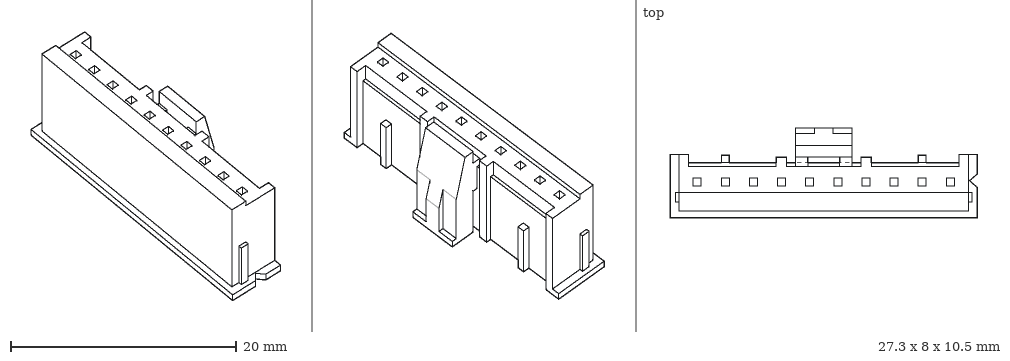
import cadquery as cq


total_height = 10.5
flange_length = 27.3
flange_height = 0.75
flange_left_overhang = 0.8

body_length = 25.72
body_front_y = 0.6
end_post_back_y = 5.65
end_post_width = 0.85
front_wall_thickness = 1.65
front_wall_rise = 0.57
back_wall_y = 4.91
upper_wall_setback = 0.33
ledge_z = 8.2

pin_count = 10
pin_pitch = 2.498
pin_hole_size = 0.7
pin_hole_y = 3.2
pin_hole_depth = 2.18

key_top_z = 5.35
side_key_width = 0.82
side_key_projection = 0.33
back_key_width = pin_hole_size
back_key_end_y = 5.57
guide_post_inner_x = 3.3
guide_post_width = 0.93

latch_width = 5.02
latch_front_y = 5.4
latch_top_back_y = 6.42
latch_plate_back_y = 7.5
latch_foot_back_y = 8.0
latch_slope_start_z = 3.75
latch_rib_width = 1.65
latch_leg_width = 1.1
latch_leg_top_z = 9.0

notch_y = 3.3
notch_depth = 0.68
notch_half_width = 0.6

body_half_length = body_length / 2
deck_z = total_height - front_wall_rise
front_wall_back_y = body_front_y + front_wall_thickness
upper_wall_y = back_wall_y - upper_wall_setback
flange_left_x = -body_half_length - flange_left_overhang
flange_right_x = flange_left_x + flange_length


def block(x_range, y_range, z_range):
    """Box between the given limits along each axis."""
    (x0, x1), (y0, y1), (z0, z1) = x_range, y_range, z_range
    return cq.Workplane("XY", origin=(x0, y0, z0)).box(x1 - x0, y1 - y0, z1 - z0, centered=False)


def centered_range(center, width):
    return (center - width / 2, center + width / 2)


def make_flange():
    """Base flange with the V notch that marks pin one."""
    flange = block((flange_left_x, flange_right_x), (0, upper_wall_y), (0, flange_height))
    left_corner = block(
        (flange_left_x, -body_half_length), (0, end_post_back_y), (0, flange_height)
    )
    right_corner = block(
        (body_half_length, flange_right_x), (0, end_post_back_y), (0, flange_height)
    )
    notch = (
        cq.Workplane("XY")
        .moveTo(flange_right_x - notch_depth, notch_y)
        .lineTo(flange_right_x, notch_y + notch_half_width)
        .lineTo(flange_right_x, notch_y - notch_half_width)
        .close()
        .extrude(flange_height)
    )
    return flange.union(left_corner).union(right_corner).cut(notch)


def make_body():
    """Main block with a raised front wall and a back wall that steps in above the ledge."""
    profile = [
        (body_front_y, 0),
        (body_front_y, total_height),
        (front_wall_back_y, total_height),
        (front_wall_back_y, deck_z),
        (upper_wall_y, deck_z),
        (upper_wall_y, ledge_z),
        (back_wall_y, ledge_z),
        (back_wall_y, 0),
    ]
    return (
        cq.Workplane("YZ", origin=(-body_half_length, 0, 0))
        .polyline(profile)
        .close()
        .extrude(body_length)
    )


def make_back_posts():
    """End posts and the two guide posts beside the latch, all flush with the deck."""
    end_post_x = body_half_length - end_post_width / 2
    guide_post_x = guide_post_inner_x + guide_post_width / 2
    posts = cq.Workplane("XY")
    for side in (-1, 1):
        end_post_range = centered_range(side * end_post_x, end_post_width)
        guide_post_range = centered_range(side * guide_post_x, guide_post_width)
        posts = posts.add(block(end_post_range, (body_front_y, end_post_back_y), (0, deck_z)))
        posts = posts.add(block(guide_post_range, (upper_wall_y, latch_front_y), (0, deck_z)))
    return posts.combine()


def make_keys():
    """Side keys on the body ends and back keys in line with the second pin from each end."""
    back_key_x = (pin_count - 3) / 2 * pin_pitch
    side_key_span = body_half_length + side_key_projection
    keys = block(
        (-side_key_span, side_key_span),
        (front_wall_back_y - side_key_width, front_wall_back_y),
        (0, key_top_z),
    )
    for side in (-1, 1):
        back_key_range = centered_range(side * back_key_x, back_key_width)
        keys = keys.union(block(back_key_range, (upper_wall_y, back_key_end_y), (0, key_top_z)))
    return keys


def make_latch():
    """Tapered lever with a wide foot and a central rib, carried on two legs."""
    lever_profile = [
        (latch_front_y, 0),
        (latch_front_y, total_height),
        (latch_top_back_y, total_height),
        (latch_foot_back_y, latch_slope_start_z),
        (latch_foot_back_y, 0),
    ]
    latch = (
        cq.Workplane("YZ", origin=(-latch_width / 2, 0, 0))
        .polyline(lever_profile)
        .close()
        .extrude(latch_width)
    )
    relief_y_range = (latch_plate_back_y, latch_foot_back_y)
    leg_x = (latch_width - latch_leg_width) / 2
    for side in (-1, 1):
        relief_x_range = sorted((side * latch_rib_width / 2, side * latch_width / 2))
        latch = latch.cut(block(relief_x_range, relief_y_range, (flange_height, total_height)))
        leg_range = centered_range(side * leg_x, latch_leg_width)
        leg = block(leg_range, (upper_wall_y, latch_front_y), (key_top_z, latch_leg_top_z))
        latch = latch.union(leg)
    return latch


def make_pin_holes():
    """Row of blind square holes in the deck."""
    return (
        cq.Workplane("XY", origin=(0, pin_hole_y, deck_z))
        .rarray(pin_pitch, 0.27, pin_count, 1)
        .rect(pin_hole_size, pin_hole_size)
        .extrude(-pin_hole_depth)
    )


result = (
    make_flange()
    .union(make_body())
    .union(make_back_posts())
    .union(make_keys())
    .union(make_latch())
    .cut(make_pin_holes())
)